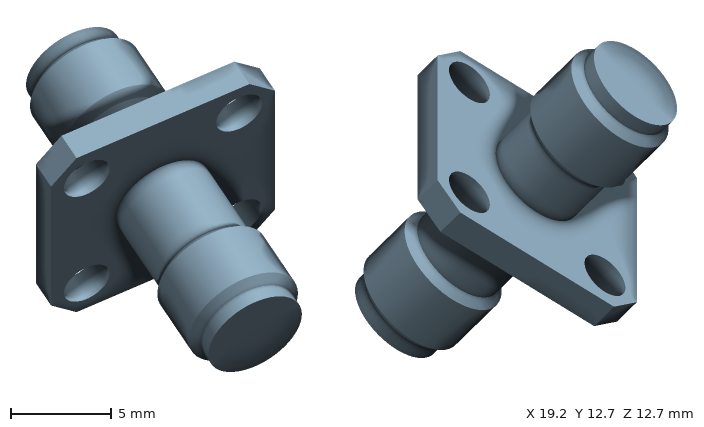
import cadquery as cq

total_length = 19.2
barrel_diameter = 5.3

collar_diameter = 6.2
collar_length = 4.2
tip_length = 0.8
bevel_length = (collar_diameter - barrel_diameter) / 2

flange_size = 12.7
flange_thickness = 1.6
flange_offset = 7.9
corner_cut = 1.45
hole_diameter = 2.6
hole_spacing = 8.64

left_end = -total_length / 2
right_end = total_length / 2


def make_barrel():
    """Plain cylinder running the full length."""
    end_face = cq.Workplane("YZ", origin=(left_end, 0, 0))
    return end_face.circle(barrel_diameter / 2).extrude(total_length)


def make_collar(start_x):
    """Thicker ring with a bevel at each end, starting at start_x."""
    outer_radius = collar_diameter / 2
    edge_radius = barrel_diameter / 2
    end_x = start_x + collar_length
    profile = (
        cq.Workplane("XY")
        .moveTo(start_x, 0)
        .lineTo(start_x, edge_radius)
        .lineTo(start_x + bevel_length, outer_radius)
        .lineTo(end_x - bevel_length, outer_radius)
        .lineTo(end_x, edge_radius)
        .lineTo(end_x, 0)
        .close()
    )
    return profile.revolve(360, (0, 0, 0), (1, 0, 0))


def make_flange():
    """Square plate with cut corners and a through hole in each corner."""
    plate = (
        cq.Workplane("YZ", origin=(left_end + flange_offset, 0, 0))
        .rect(flange_size, flange_size)
        .extrude(flange_thickness)
        .edges("|X")
        .chamfer(corner_cut)
    )
    return (
        plate.faces("<X")
        .workplane(origin=(0, 0, 0))
        .rect(hole_spacing, hole_spacing, forConstruction=True)
        .vertices()
        .hole(hole_diameter)
    )


collar_starts = (
    left_end + tip_length,
    right_end - tip_length - collar_length,
)

result = make_flange().union(make_barrel())
for collar_start in collar_starts:
    result = result.union(make_collar(collar_start))